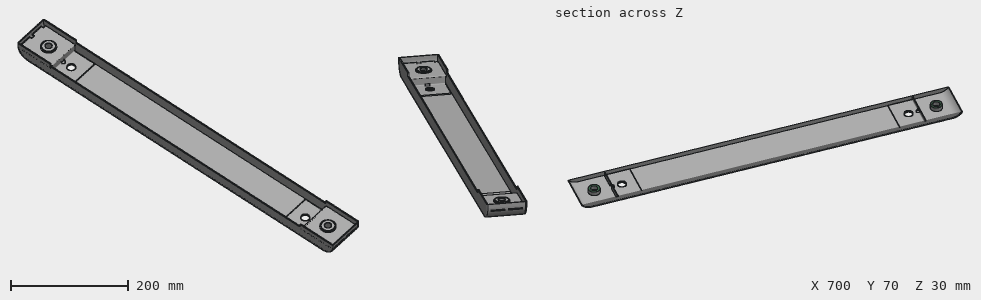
import cadquery as cq

LENGTH = 700.0
WIDTH = 70.0
END_HEIGHT = 30.0
MIDDLE_HEIGHT = 24.0
RAISED_LENGTH = 73.0
STEP_RADIUS = 1.5
END_RADIUS = 23.0
EDGE_RADIUS = 2.0
WALL = 2.0
END_WALL = 1.5

PLATE = 2.0
SHELF_TOP = 19.0
SHELF_GAP = 5.25
RISER_FACE = 72.0
FOOT_END = 116.0
FOOT_WIDTH = 63.0
BEND_RADIUS = 1.5
TAB_INNER = 3.5
TAB_OUTER = 27.0
RELIEF_RADIUS = 4.0
MOUNT_HOLE_PLACE = 90.0
MOUNT_HOLE_RADIUS = 8.0

BUSHING_PLACE = 40.0
SLEEVE_RADIUS = 10.5
FLANGE_RADIUS = 14.0
FLANGE_HEIGHT = 1.0
HEAD_RADIUS = 12.0
HEAD_HEIGHT = 3.0
BORE_RADIUS = 5.5
BORE_CHAMFER = 1.0

INNER_WIDTH = WIDTH - 2 * WALL
SHELF_BOTTOM = SHELF_TOP - PLATE
RISER_BACK = RISER_FACE - PLATE
FOOT_TOP = WALL + PLATE
ENDS = (-1, 1)


def from_end(end, distance):
    """X of a place at the given distance from one end of the tray."""
    return end * (LENGTH / 2 - distance)


def slab(end, near, far, width, bottom, top):
    """Box on the centre line between two distances from one end of the tray."""
    box = cq.Workplane("XY").box(far - near, width, top - bottom, centered=(True, True, False))
    return box.translate((from_end(end, (near + far) / 2), 0, bottom))


def cylinder(end, distance, radius, bottom, top):
    """Upright cylinder on the centre line at a distance from one end of the tray."""
    disc = cq.Workplane("XY").circle(radius).extrude(top - bottom)
    return disc.translate((from_end(end, distance), 0, bottom))


def nearest(end, distance, height):
    """Selector for the edge nearest a place on the centre line."""
    return cq.selectors.NearestToPointSelector((from_end(end, distance), 0, height))


def channel_block(length, width, bottom, end_radius):
    """Block up to the tray's rim, with its two lower end edges rounded."""
    height = END_HEIGHT - bottom
    block = cq.Workplane("XY").box(length, width, height, centered=(True, True, False))
    return block.edges("<Z and |Y").fillet(end_radius).translate((0, 0, bottom))


def rim_cut():
    """Space above the lower side walls between the raised ends."""
    length = LENGTH - 2 * RAISED_LENGTH
    block = cq.Workplane("XY").box(length, WIDTH, END_HEIGHT, centered=(True, True, False))
    return block.edges("<Z and |Y").fillet(STEP_RADIUS).translate((0, 0, MIDDLE_HEIGHT))


def mount_hole(end):
    return cylinder(end, MOUNT_HOLE_PLACE, MOUNT_HOLE_RADIUS, 0, FOOT_TOP)


def tabs(end):
    """Two tongues that pass through the end wall and end flush with its outer face."""
    band = slab(end, 0, SHELF_GAP, 2 * TAB_OUTER, SHELF_BOTTOM, SHELF_TOP)
    notch = slab(end, 0, SHELF_GAP, 2 * TAB_INNER, SHELF_BOTTOM, SHELF_TOP)
    return band.cut(notch).intersect(channel_block(LENGTH, WIDTH, 0, END_RADIUS))


def make_tray():
    outer = channel_block(LENGTH, WIDTH, 0, END_RADIUS)
    outer = outer.faces("<Z").edges("|X").fillet(EDGE_RADIUS)
    inner = channel_block(LENGTH - 2 * END_WALL, INNER_WIDTH, WALL, END_RADIUS - WALL)
    tray = outer.cut(inner).cut(rim_cut())
    for end in ENDS:
        tray = tray.cut(tabs(end)).cut(mount_hole(end))
    return tray


def make_bracket(end):
    shelf = slab(end, SHELF_GAP, RISER_FACE, INNER_WIDTH, SHELF_BOTTOM, SHELF_TOP)
    shelf = shelf.edges(nearest(end, RISER_FACE, SHELF_TOP)).fillet(BEND_RADIUS)

    riser = slab(end, RISER_BACK, RISER_FACE, FOOT_WIDTH, WALL, SHELF_TOP)
    foot = slab(end, RISER_BACK, FOOT_END, FOOT_WIDTH, WALL, FOOT_TOP)
    step = riser.union(foot)
    for bend_height in (FOOT_TOP, SHELF_TOP):
        step = step.edges(nearest(end, RISER_FACE, bend_height)).fillet(BEND_RADIUS)

    relief = cylinder(end, RISER_FACE, RELIEF_RADIUS, WALL, FOOT_TOP + PLATE)
    seat = cylinder(end, BUSHING_PLACE, SLEEVE_RADIUS, SHELF_BOTTOM, SHELF_TOP)
    bracket = shelf.union(step).union(tabs(end))
    return bracket.cut(relief).cut(mount_hole(end)).cut(seat)


def make_bushing(end):
    head_top = SHELF_TOP + HEAD_HEIGHT
    sleeve = cylinder(end, BUSHING_PLACE, SLEEVE_RADIUS, WALL, SHELF_TOP)
    flange = cylinder(end, BUSHING_PLACE, FLANGE_RADIUS, SHELF_TOP, SHELF_TOP + FLANGE_HEIGHT)
    head = cylinder(end, BUSHING_PLACE, HEAD_RADIUS, SHELF_TOP, head_top)
    bore = cylinder(end, BUSHING_PLACE, BORE_RADIUS, WALL, head_top)
    bushing = sleeve.union(flange).union(head).cut(bore)
    bore_rim = cq.selectors.RadiusNthSelector(0)
    return bushing.faces(">Z").edges(bore_rim).chamfer(BORE_CHAMFER)


tray = make_tray()
brackets = [make_bracket(end) for end in ENDS]
bushings = [make_bushing(end) for end in ENDS]

result = cq.Compound.makeCompound(
    [
        tray.val(),
        *[bracket.val() for bracket in brackets],
        *[bushing.val() for bushing in bushings],
    ]
)